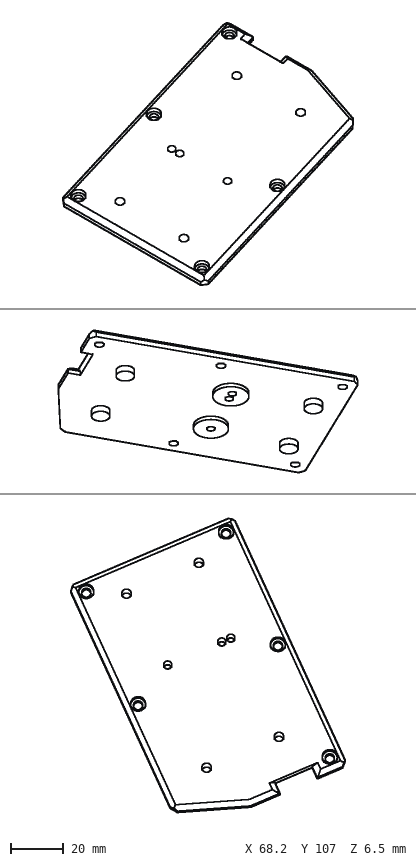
import cadquery as cq

WIDTH = 68.19
LENGTH = 107.0
THICKNESS = 4.0
BEVEL = 2.0
CORNER_CUT = 2.0
SLANT_START_X = 40.1
SLANT_DROP = 10.0

NOTCH_LEFT_X = 12.5
NOTCH_WIDTH = 15.4
NOTCH_DEPTH = 4.8
NOTCH_BEVEL = 2.3

SCREW_INSET_X = 5.1
SCREW_INSET_Y = 5.0
SCREW_DIAMETER = 3.5
COUNTERBORE_DIAMETER = 5.7
COUNTERBORE_DEPTH = 2.0

STANDOFF_LEFT_X = 19.5
STANDOFF_FRONT_Y = 12.0
STANDOFF_SPACING_X = 30.0
STANDOFF_SPACING_Y = 75.0
STANDOFF_DIAMETER = 7.0
STANDOFF_HEIGHT = 2.5
STANDOFF_HOLE_DIAMETER = 3.6
STANDOFF_FLOOR = 1.0

PAD_Y = 44.0
PAD_HEIGHT = 1.5
LEFT_PAD_X = 22.3
LEFT_PAD_DIAMETER = 13.72
RIGHT_PAD_X = 46.6
RIGHT_PAD_DIAMETER = 13.3
PIN_DIAMETER = 3.1
PIN_PAIR_SPACING = 3.75


def cylinder(x, y, diameter, bottom, top):
    """Upright cylinder centred on (x, y) between two heights."""
    base = cq.Workplane("XY", origin=(x, y, bottom))
    return base.circle(diameter / 2).extrude(top - bottom)


def make_plate():
    """Slab with a bevelled top rim; every corner but the obtuse slant start is cut off."""
    corners = [
        (0, 0),
        (WIDTH, 0),
        (WIDTH, LENGTH - SLANT_DROP),
        (SLANT_START_X, LENGTH),
        (0, LENGTH),
    ]
    slab = cq.Workplane("XY").polyline(corners).close().extrude(THICKNESS)
    bevelled_rim = slab.faces(">Z").chamfer(BEVEL)
    upright_edges = cq.selectors.ParallelDirSelector(cq.Vector(0, 0, 1))
    slant_start_edge = cq.selectors.NearestToPointSelector((SLANT_START_X, LENGTH, THICKNESS / 2))
    corner_edges = cq.selectors.SubtractSelector(upright_edges, slant_start_edge)
    cut_corners = slab.edges(corner_edges).chamfer(CORNER_CUT)
    return bevelled_rim.intersect(cut_corners)


def make_notch():
    """Cutter for the rear notch, widening at the top by the side bevels."""
    right_x = NOTCH_LEFT_X + NOTCH_WIDTH
    bevel_start_z = THICKNESS - NOTCH_BEVEL
    profile = [
        (NOTCH_LEFT_X, 0),
        (right_x, 0),
        (right_x, bevel_start_z),
        (right_x + NOTCH_BEVEL, THICKNESS),
        (NOTCH_LEFT_X - NOTCH_BEVEL, THICKNESS),
        (NOTCH_LEFT_X, bevel_start_z),
    ]
    rear = cq.Workplane("XZ", origin=(0, LENGTH, 0))
    return rear.polyline(profile).close().extrude(NOTCH_DEPTH)


def cut_screw_holes(body):
    """Counterbored holes; the slanted corner has none."""
    left_x = SCREW_INSET_X
    right_x = WIDTH - SCREW_INSET_X
    front_y = SCREW_INSET_Y
    middle_y = LENGTH / 2
    rear_y = LENGTH - SCREW_INSET_Y
    places = [
        (left_x, front_y),
        (left_x, middle_y),
        (left_x, rear_y),
        (right_x, front_y),
        (right_x, middle_y),
    ]
    for x, y in places:
        body = body.cut(cylinder(x, y, SCREW_DIAMETER, 0, THICKNESS))
        counterbore_floor = THICKNESS - COUNTERBORE_DEPTH
        body = body.cut(cylinder(x, y, COUNTERBORE_DIAMETER, counterbore_floor, THICKNESS))
    return body


def add_standoffs(body):
    """Round standoffs on a rectangular grid, closed at the bottom."""
    hole_floor = STANDOFF_FLOOR - STANDOFF_HEIGHT
    for column in range(2):
        for row in range(2):
            x = STANDOFF_LEFT_X + column * STANDOFF_SPACING_X
            y = STANDOFF_FRONT_Y + row * STANDOFF_SPACING_Y
            body = body.union(cylinder(x, y, STANDOFF_DIAMETER, -STANDOFF_HEIGHT, 0))
            body = body.cut(cylinder(x, y, STANDOFF_HOLE_DIAMETER, hole_floor, THICKNESS))
    return body


def add_pads(body):
    """Left pad with a pair of pin holes, right pad with a single one."""
    body = body.union(cylinder(LEFT_PAD_X, PAD_Y, LEFT_PAD_DIAMETER, -PAD_HEIGHT, 0))
    body = body.union(cylinder(RIGHT_PAD_X, PAD_Y, RIGHT_PAD_DIAMETER, -PAD_HEIGHT, 0))
    half_spacing = PIN_PAIR_SPACING / 2
    for x in (LEFT_PAD_X - half_spacing, LEFT_PAD_X + half_spacing, RIGHT_PAD_X):
        body = body.cut(cylinder(x, PAD_Y, PIN_DIAMETER, -PAD_HEIGHT, THICKNESS))
    return body


plate = make_plate().cut(make_notch())
plate = cut_screw_holes(plate)
plate = add_standoffs(plate)
result = add_pads(plate)